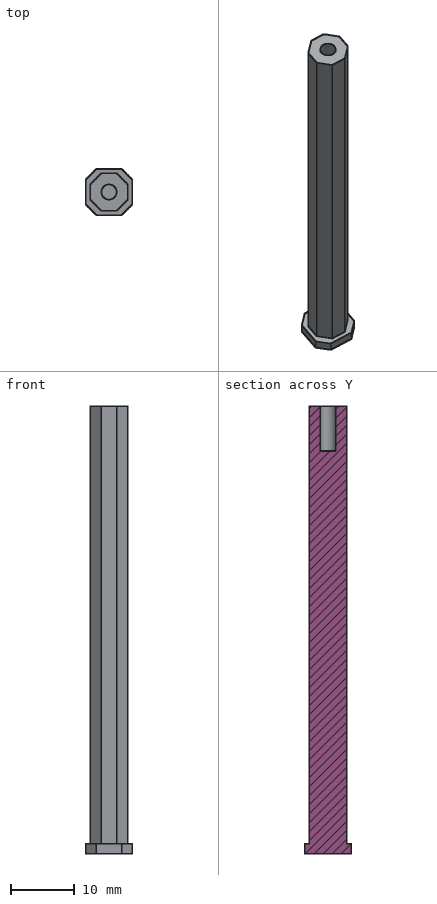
import cadquery as cq

total_height = 70.2
head_width = 7.3
head_height = 1.6
head_corner_cut = 1.7
shaft_width = 5.9
shaft_corner_cut = 1.75

hole_diameter = 2.4
hole_depth = 7.0


def octagonal_bar(width, corner_cut, height):
    """Square bar standing on Z = 0 with its four upright edges cut at 45 degrees."""
    bar = cq.Workplane("XY").rect(width, width).extrude(height)
    return bar.edges("|Z").chamfer(corner_cut)


head = octagonal_bar(head_width, head_corner_cut, head_height)
shaft = octagonal_bar(shaft_width, shaft_corner_cut, total_height)
body = head.union(shaft)

result = body.faces(">Z").workplane().hole(hole_diameter, hole_depth)